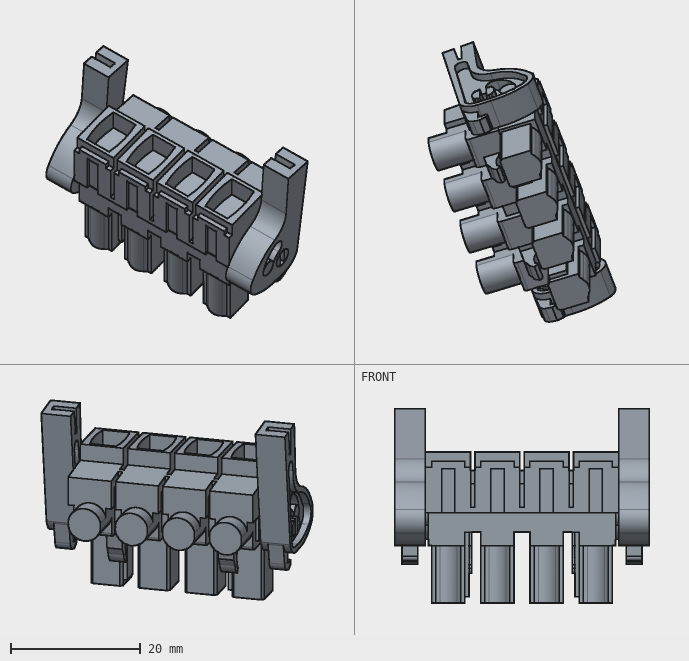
import cadquery as cq
import math


TOTAL_LENGTH = 39.35
LEVER_WIDTH = 4.75
POLE_COUNT = 4
PITCH = 7.6
POLE_WIDTH = 5.15
POLE_CENTRES = [(i - (POLE_COUNT - 1) / 2) * PITCH for i in range(POLE_COUNT)]
HALF_LENGTH = TOTAL_LENGTH / 2 - LEVER_WIDTH
SIDE_STEP = 0.47
BASE_HALF_LENGTH = HALF_LENGTH - SIDE_STEP

TOP_Z = 23.35
LIP_Z = 21.92
PLATE_TOP_Z = 21.0
PLATE_BOTTOM_Z = 13.95
UPPER_BOTTOM_Z = 15.45
BASE_FRONT_Y = 0.63
BLOCK_FRONT_Y = 0.8
BLOCK_REAR_Y = 8.9
REAR_Y = 15.25
SLOPE_FRONT_Z = 20.7
SLOPE_REAR_Z = 20.0

GROOVE_WIDTH = 0.65
GROOVE_FLOOR_Z = 18.45
FRONT_GROOVE_FLOOR_Z = 14.85
FRONT_GROOVE_DEPTH = 1.4
BRIDGE_FRONT_Y = 10.7
BRIDGE_REAR_Y = 11.6
WEB_REAR_Y = 13.8

OPENING_FRONT_Y = 1.4
OPENING_REAR_Y = 8.25
OPENING_HALF_WIDTH = 2.13
OPENING_BULGE = 0.35
OPENING_DEPTH = 3.65
RECESS_WIDTH = 2.05
RECESS_DEPTH = 0.55
RECESS_TOP_Z = 20.8

BASE_REAR_Y = 10.63
BASE_BOTTOM_Z = 11.0
LEG_TOP_Z = 8.9
LEG_FRONT_Y = 0.65
LEG_SHOULDER_Y = 1.55
LEG_REAR_Y = 6.57
LEG_ROUND_HALF_WIDTH = 1.93
LEG_NOSE_HALF_WIDTH = 1.3
LEG_NOSE_Y = 1.1
LEG_FLANK_MIDDLE = (1.65, 1.3)
LEG_CHAMFER = 0.4
RIB_WIDTH = 0.65
RIB_FRONT_Y = 3.23
RIB_BOTTOM_Z = 1.0

FLANGE_REAR_Y = 12.12
FLANGE_BOTTOM_Z = 9.8
FLANGE_RADIUS = 0.63
STUB_REAR_Y = 18.2
STUB_Z = 13.5
STUB_RADIUS = 2.65
SUPPORT_BOTTOM_Z = 13.03

PIVOT_Y = 7.35
PIVOT_Z = 12.8
PIVOT_RADIUS = 1.55
PIVOT_SHOULDER_RADIUS = 2.95
PIVOT_SPLIT = 1.05
BARB_RADIUS = 1.8
BARB_HEIGHT = 2.45
BARB_LENGTH = 1.02
GUIDE_ORBIT = 3.78
GUIDE_ANGLE = 14.0
GUIDE_TRAVEL = 54.0
GUIDE_RADIUS = 1.3
GUIDE_SHOULDER_RADIUS = 1.7
GUIDE_Y = PIVOT_Y - GUIDE_ORBIT * math.cos(math.radians(GUIDE_ANGLE))
GUIDE_Z = PIVOT_Z + GUIDE_ORBIT * math.sin(math.radians(GUIDE_ANGLE))

POCKET_DEPTH = 1.22
HANDLE_SLOT_DEPTH = 3.62
HOOK_WIDTH = 2.48
LATCH_INNER_X = 7.75


def box(x_range, y_range, z_range):
    """A box between the given limits."""
    size = [b - a for a, b in (x_range, y_range, z_range)]
    corner = (x_range[0], y_range[0], z_range[0])
    return cq.Workplane("XY").box(*size, centered=False).translate(corner)


def pole_box(x, width, y_range, z_range):
    """A box centred on x."""
    return box((x - width / 2, x + width / 2), y_range, z_range)


def side_plane(x):
    """A plane across the row at x, drawn in Y and Z and facing +X."""
    return cq.Workplane("YZ", origin=(x, 0, 0))


def rod(y, z, radius, x_start, x_end):
    """A round rod along X."""
    return side_plane(min(x_start, x_end)).center(y, z).circle(radius).extrude(abs(x_end - x_start))


def upper_housing():
    """Full-length block with a sloped rear part and a front plate."""
    block = (
        side_plane(-HALF_LENGTH)
        .polyline([
            (BASE_FRONT_Y, PLATE_BOTTOM_Z),
            (BASE_FRONT_Y, PLATE_TOP_Z),
            (BLOCK_FRONT_Y, PLATE_TOP_Z),
            (BLOCK_FRONT_Y, TOP_Z),
            (BLOCK_REAR_Y, TOP_Z),
            (BLOCK_REAR_Y, SLOPE_FRONT_Z),
            (REAR_Y, SLOPE_REAR_Z),
            (REAR_Y, UPPER_BOTTOM_Z),
            (BLOCK_REAR_Y, UPPER_BOTTOM_Z),
            (BLOCK_REAR_Y, PLATE_BOTTOM_Z),
        ])
        .close()
        .extrude(2 * HALF_LENGTH)
    )
    full_length = (-HALF_LENGTH, HALF_LENGTH)
    plate = box(full_length, (0, BLOCK_FRONT_Y), (PLATE_BOTTOM_Z, PLATE_TOP_Z))
    block = block.union(plate)
    for x in POLE_CENTRES:
        block = block.union(pole_box(x, POLE_WIDTH, (0, BLOCK_FRONT_Y), (PLATE_TOP_Z, LIP_Z)))
    return block


def pole_groove(x):
    """Material removed between two poles, leaving a bridge and low webs."""
    front = pole_box(x, GROOVE_WIDTH, (0, FRONT_GROOVE_DEPTH), (FRONT_GROOVE_FLOOR_Z, TOP_Z))
    middle = pole_box(x, GROOVE_WIDTH, (FRONT_GROOVE_DEPTH, BRIDGE_FRONT_Y), (GROOVE_FLOOR_Z, TOP_Z))
    behind_bridge = pole_box(x, GROOVE_WIDTH, (BRIDGE_REAR_Y, WEB_REAR_Y), (GROOVE_FLOOR_Z, TOP_Z))
    rear = pole_box(x, GROOVE_WIDTH, (WEB_REAR_Y, REAR_Y), (UPPER_BOTTOM_Z, TOP_Z))
    return front.union(middle).union(behind_bridge).union(rear)


def wire_opening(x):
    """Blind opening in the top with two bulging sides."""
    middle_y = (OPENING_FRONT_Y + OPENING_REAR_Y) / 2
    bulge_x = OPENING_HALF_WIDTH + OPENING_BULGE
    return (
        cq.Workplane("XY", origin=(x, 0, TOP_Z - OPENING_DEPTH))
        .moveTo(-OPENING_HALF_WIDTH, OPENING_FRONT_Y)
        .lineTo(OPENING_HALF_WIDTH, OPENING_FRONT_Y)
        .threePointArc((bulge_x, middle_y), (OPENING_HALF_WIDTH, OPENING_REAR_Y))
        .lineTo(-OPENING_HALF_WIDTH, OPENING_REAR_Y)
        .threePointArc((-bulge_x, middle_y), (-OPENING_HALF_WIDTH, OPENING_FRONT_Y))
        .close()
        .extrude(OPENING_DEPTH)
    )


def front_recess(x):
    """Shallow recess in the front plate, open at the bottom of the plate."""
    return pole_box(x, RECESS_WIDTH, (0, RECESS_DEPTH), (PLATE_BOTTOM_Z, RECESS_TOP_Z))


def base():
    """Bar under the upper housing, a little shorter than it, with a foot above each leg."""
    bar = box(
        (-BASE_HALF_LENGTH, BASE_HALF_LENGTH),
        (BASE_FRONT_Y, BASE_REAR_Y),
        (BASE_BOTTOM_Z, UPPER_BOTTOM_Z),
    )
    for x in POLE_CENTRES:
        left = x - POLE_WIDTH / 2
        right = x + POLE_WIDTH / 2
        if x == POLE_CENTRES[0]:
            left = -BASE_HALF_LENGTH
        if x == POLE_CENTRES[-1]:
            right = BASE_HALF_LENGTH
        foot = box((left, right), (BASE_FRONT_Y, LEG_REAR_Y), (LEG_TOP_Z, BASE_BOTTOM_Z))
        bar = bar.union(foot)
    return bar


def leg(x):
    """Plug leg with a rounded front and chamfered rear corners."""
    half = POLE_WIDTH / 2
    flank_x, flank_y = LEG_FLANK_MIDDLE
    return (
        cq.Workplane("XY", origin=(x, 0, 0))
        .moveTo(-half, LEG_SHOULDER_Y)
        .lineTo(-LEG_ROUND_HALF_WIDTH, LEG_SHOULDER_Y)
        .threePointArc((-flank_x, flank_y), (-LEG_NOSE_HALF_WIDTH, LEG_NOSE_Y))
        .threePointArc((0, LEG_FRONT_Y), (LEG_NOSE_HALF_WIDTH, LEG_NOSE_Y))
        .threePointArc((flank_x, flank_y), (LEG_ROUND_HALF_WIDTH, LEG_SHOULDER_Y))
        .lineTo(half, LEG_SHOULDER_Y)
        .lineTo(half, LEG_REAR_Y - LEG_CHAMFER)
        .lineTo(half - LEG_CHAMFER, LEG_REAR_Y)
        .lineTo(LEG_CHAMFER - half, LEG_REAR_Y)
        .lineTo(-half, LEG_REAR_Y - LEG_CHAMFER)
        .close()
        .extrude(LEG_TOP_Z)
    )


def coding_rib(side):
    """Rib on the inner side of an outermost leg."""
    inner_x = POLE_CENTRES[-1] - POLE_WIDTH / 2
    rib = box(
        (inner_x - RIB_WIDTH, inner_x),
        (RIB_FRONT_Y, LEG_REAR_Y - LEG_CHAMFER),
        (RIB_BOTTOM_Z, BASE_BOTTOM_Z),
    )
    return rib if side > 0 else rib.mirror("YZ")


def rear_stub(x):
    """Round stub with flat sides, its support under the upper housing and the flange below it."""
    start_y = FLANGE_REAR_Y
    cylinder = (
        cq.Workplane("XZ", origin=(x, STUB_REAR_Y, STUB_Z))
        .circle(STUB_RADIUS)
        .extrude(STUB_REAR_Y - start_y)
    )
    flats = pole_box(
        x, POLE_WIDTH, (start_y, STUB_REAR_Y), (STUB_Z - STUB_RADIUS, STUB_Z + STUB_RADIUS)
    )
    support = pole_box(x, POLE_WIDTH, (start_y, REAR_Y), (SUPPORT_BOTTOM_Z, UPPER_BOTTOM_Z))
    flange = pole_box(x, POLE_WIDTH, (LEG_REAR_Y, start_y), (FLANGE_BOTTOM_Z, UPPER_BOTTOM_Z))
    flange = flange.edges("|X and >Y and <Z").fillet(FLANGE_RADIUS)
    return cylinder.intersect(flats).union(support).union(flange)


def latch_hook(side):
    """Hook hanging from the base behind an outermost leg."""
    left = LATCH_INNER_X if side > 0 else -LATCH_INNER_X - HOOK_WIDTH
    return (
        side_plane(left)
        .moveTo(10.6, BASE_BOTTOM_Z)
        .lineTo(10.0, 7.25)
        .lineTo(9.4, 6.18)
        .threePointArc((8.95, 5.15), (8.3, 4.6))
        .threePointArc((7.87, 4.92), (7.8, 5.35))
        .lineTo(8.25, 5.95)
        .lineTo(8.4, 7.1)
        .threePointArc((8.25, 8.0), (7.95, 8.9))
        .lineTo(7.95, BASE_BOTTOM_Z)
        .close()
        .extrude(HOOK_WIDTH)
    )


def pivot_barb(tip_x):
    """Flat-topped barb in the pocket of the left lever, ending the pivot at tip_x."""
    barb = rod(PIVOT_Y, PIVOT_Z, BARB_RADIUS, tip_x, tip_x + BARB_LENGTH)
    trim = box(
        (tip_x, tip_x + BARB_LENGTH),
        (PIVOT_Y - BARB_RADIUS, PIVOT_Y + BARB_RADIUS),
        (PIVOT_Z - BARB_HEIGHT / 2, PIVOT_Z + BARB_HEIGHT / 2),
    )
    return barb.intersect(trim)


def lever_pins(side):
    """Split pivot and guide pin that carry the lever; side is -1 or +1."""
    root_x = side * BASE_HALF_LENGTH
    lever_inner_x = side * HALF_LENGTH
    lever_outer_x = side * TOTAL_LENGTH / 2
    if side < 0:
        web_x = lever_outer_x + POCKET_DEPTH
        barb_tip_x = web_x - BARB_LENGTH
        pivot = rod(PIVOT_Y, PIVOT_Z, PIVOT_RADIUS, root_x, barb_tip_x).union(pivot_barb(barb_tip_x))
    else:
        web_x = lever_outer_x
        pivot = rod(PIVOT_Y, PIVOT_Z, PIVOT_RADIUS, root_x, web_x)
    split = pole_box(
        (lever_inner_x + lever_outer_x) / 2,
        LEVER_WIDTH,
        (PIVOT_Y - PIVOT_SPLIT / 2, PIVOT_Y + PIVOT_SPLIT / 2),
        (PIVOT_Z - BARB_RADIUS, PIVOT_Z + BARB_RADIUS),
    )
    pivot_shoulder = rod(PIVOT_Y, PIVOT_Z, PIVOT_SHOULDER_RADIUS, root_x, lever_inner_x)
    guide = rod(GUIDE_Y, GUIDE_Z, GUIDE_RADIUS, root_x, web_x)
    guide_shoulder = rod(GUIDE_Y, GUIDE_Z, GUIDE_SHOULDER_RADIUS, root_x, lever_inner_x)
    return pivot.cut(split).union(pivot_shoulder).union(guide).union(guide_shoulder)


def build_housing():
    body = upper_housing().union(base())
    for x in POLE_CENTRES:
        body = body.cut(wire_opening(x)).cut(front_recess(x))
        body = body.union(leg(x)).union(rear_stub(x))
    for x in POLE_CENTRES[:-1]:
        body = body.cut(pole_groove(x + PITCH / 2))
    for side in (-1, 1):
        body = body.union(coding_rib(side)).union(latch_hook(side)).union(lever_pins(side))
    return body


def lever_blade():
    """Handle that widens into a rounded cam."""
    return (
        side_plane(0)
        .moveTo(13.95, 29.5)
        .lineTo(8.9, 30.05)
        .lineTo(8.3, 22.3)
        .tangentArcPoint((5.45, 18.77), relative=False)
        .tangentArcPoint((-0.28, 14.52), relative=False)
        .threePointArc((-0.85, 13.03), (0.0, 10.85))
        .threePointArc((2.45, 9.55), (6.05, 8.97))
        .lineTo(8.25, 8.9)
        .threePointArc((10.1, 9.6), (11.18, 11.1))
        .close()
        .extrude(LEVER_WIDTH)
    )


def lever_pocket():
    """Shallow pocket that follows the outline of the lever."""
    return (
        side_plane(0)
        .moveTo(11.93, 23.4)
        .threePointArc((10.9, 24.52), (9.85, 23.5))
        .lineTo(9.65, 22.67)
        .threePointArc((8.5, 19.45), (6.05, 17.95))
        .threePointArc((2.95, 16.65), (0.9, 14.45))
        .threePointArc((0.1, 13.03), (1.2, 11.2))
        .threePointArc((3.75, 10.2), (6.95, 9.85))
        .lineTo(8.65, 9.85)
        .threePointArc((9.8, 10.4), (10.3, 11.9))
        .close()
        .extrude(POCKET_DEPTH)
    )


def handle_slot():
    """Narrowing slot in the end of the handle."""
    return (
        side_plane(0)
        .polyline([(12.15, 30.3), (10.9, 30.3), (10.8, 25.82), (11.35, 25.82)])
        .close()
        .extrude(HANDLE_SLOT_DEPTH)
    )


def guide_slot():
    """Curved slot around the pivot, one guide pin wide, with round ends."""
    def slot_point(orbit, degrees):
        angle = math.radians(degrees)
        return (PIVOT_Y - orbit * math.cos(angle), PIVOT_Z + orbit * math.sin(angle))

    start = GUIDE_ANGLE
    end = GUIDE_ANGLE + GUIDE_TRAVEL
    middle = (start + end) / 2
    outer = GUIDE_ORBIT + GUIDE_RADIUS
    inner = GUIDE_ORBIT - GUIDE_RADIUS
    band = (
        side_plane(0)
        .moveTo(*slot_point(outer, start))
        .threePointArc(slot_point(outer, middle), slot_point(outer, end))
        .lineTo(*slot_point(inner, end))
        .threePointArc(slot_point(inner, middle), slot_point(inner, start))
        .close()
        .extrude(LEVER_WIDTH)
    )
    for degrees in (start, end):
        y, z = slot_point(GUIDE_ORBIT, degrees)
        band = band.union(rod(y, z, GUIDE_RADIUS, 0, LEVER_WIDTH))
    return band


def lever_hook():
    """Hook under the cam, in the middle of the lever's width."""
    return (
        side_plane((LEVER_WIDTH - HOOK_WIDTH) / 2)
        .moveTo(11.1, 11.02)
        .lineTo(10.35, 7.5)
        .threePointArc((10.0, 6.7), (9.4, 6.25))
        .lineTo(8.25, 6.0)
        .lineTo(7.2, 6.4)
        .lineTo(7.0, 6.65)
        .lineTo(6.95, 7.0)
        .threePointArc((7.1, 7.2), (7.32, 7.25))
        .lineTo(7.95, 7.1)
        .lineTo(8.6, 7.15)
        .lineTo(8.6, 9.45)
        .close()
        .extrude(HOOK_WIDTH)
    )


def build_lever(left_x):
    """Lever whose -X face is at left_x; both levers have the pocket on that face."""
    lever = lever_blade().cut(lever_pocket()).cut(handle_slot()).cut(guide_slot())
    lever = lever.union(lever_hook().cut(lever_blade()))
    lever = lever.cut(rod(PIVOT_Y, PIVOT_Z, PIVOT_RADIUS, 0, LEVER_WIDTH))
    return lever.translate((left_x, 0, 0))


housing = build_housing()
levers = [build_lever(left_x) for left_x in (-TOTAL_LENGTH / 2, HALF_LENGTH)]

result = cq.Compound.makeCompound([housing.val(), *[lever.val() for lever in levers]])